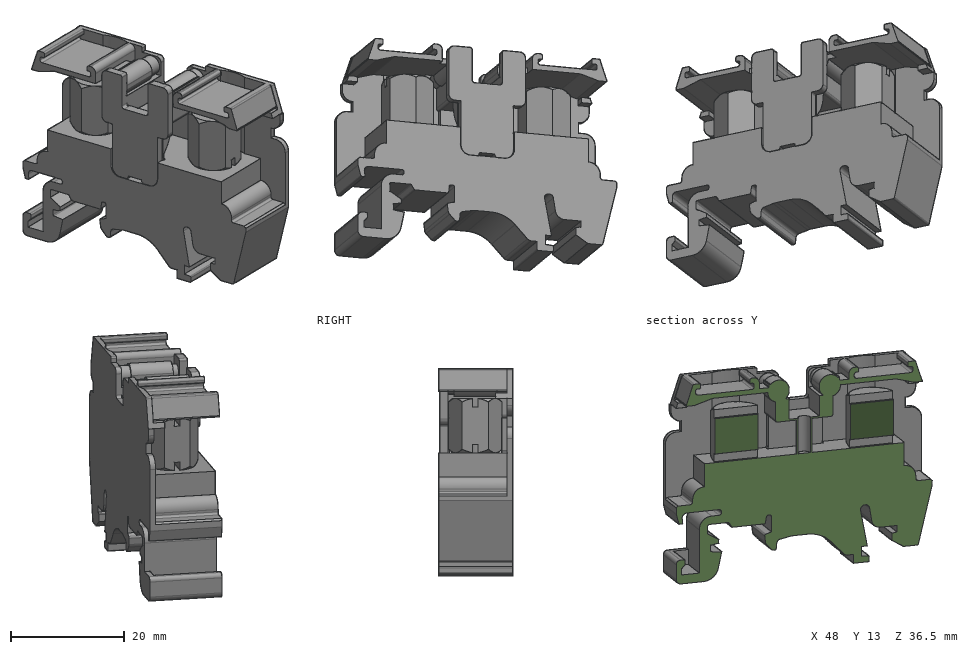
import cadquery as cq
import math

LENGTH = 48.0
DEPTH = 13.0
HEIGHT = 36.5
HALF_LENGTH = LENGTH / 2

WALL_THICKNESS = 1.0
WALL_FRONT = DEPTH - WALL_THICKNESS
SHOULDER_Z = 14.45
SHOULDER_CHAMFER = 0.35
FLOOR_Z = 21.7
SIDE_TOP_X = 20.95
SIDE_BOTTOM_X = 22.7
SIDE_BOTTOM_Z = 31.25
WALL_OVERLAP = 0.95
WALL_SADDLE_Z = 35.4
POCKET_RADIUS = 6.15

STOP_INNER_X = 20.8
STOP_HEIGHT = 0.95
STOP_FRONT = 10.0

CHANNEL_WALL_X = 19.7
CHANNEL_LIP_X = 22.9
CHANNEL_FLOOR_Z = 1.75
CHANNEL_TOP_Z = 4.45

TRAY_FLOOR_Z = 34.4
TRAY_BOTTOM_Z = 33.45
TRAY_RIM_Z = 32.5
TRAY_RIM_HEIGHT = 0.25
TRAY_INNER_X = 8.35
HOOK_Z = 35.45
TRAY_INSET = 0.1

PLATE_FRONT = 0.15
PLATE_BACK = 1.65
PLATE_HALF_WIDTH = 7.1
PLATE_STEP_Z = 26.55
PLATE_FOOT_HALF_WIDTH = 4.85
PLATE_BOTTOM_Z = 16.75
PLATE_FOOT_RADIUS = 1.7
RECESS_GAP = 0.2
NOTCH_HALF_WIDTH = 2.8
NOTCH_BOTTOM_Z = 30.1
NOTCH_RADIUS = 0.5
BOTTOM_NOTCH_HALF_WIDTH = 1.65
BOTTOM_NOTCH_TOP_HALF_WIDTH = 1.35
BOTTOM_NOTCH_HEIGHT = 0.6

BRIDGE_HALF_WIDTH = 5.4
BRIDGE_BOTTOM_Z = 27.85
BRIDGE_TOP_Z = 31.95
BRIDGE_EDGE_RADIUS = 0.5
WELL_FLOOR_Z = 28.2
WELL_FRONT = 1.9
WELL_BACK = 11.6
LEG_HALF_WIDTH = 5.05
LEG_FRONT = 11.05
LEG_FOOT_HEIGHT = 0.35
LEG_FOOT_SPREAD = 0.2
GUSSET_BOTTOM_Z = 22.55
GUSSET_BACK = 4.2
GUSSET_MIDDLE = (3.4, 24.75)
BOSS_DIAMETER = 3.0
BOSS_HOLE_DIAMETER = 2.2
BOSS_Y = 6.5

POST_X = 4.8
POST_Z = 33.55
POST_DIAMETER = 4.15
POST_BACK_DIAMETER = 3.5
POST_FRONT_DIAMETER = 3.0
POST_LENGTH = 7.6
ARM_ROOT_X = 6.6
ARM_ROOT_Z = 34.95
LEFT_POST_FRONT = 1.75
RIGHT_POST_FRONT = 2.7

SCREW_X = 12.65
SCREW_Y = 6.45
SCREW_CORNER_DIAMETER = 9.35
SCREW_TOP_Z = 31.25
SCREW_CHAMFER = 0.6
SLOT_WIDTH = 1.0
SLOT_DEPTH = 1.5


def rounded_outline(corners):
    """Closed XZ outline through (x, z, radius) corners, each rounded by a tangent arc."""
    stretches = []
    count = len(corners)
    for i in range(count):
        x, z, radius = corners[i]
        corner = cq.Vector(x, z)
        before = (cq.Vector(*corners[i - 1][:2]) - corner).normalized()
        after = (cq.Vector(*corners[(i + 1) % count][:2]) - corner).normalized()
        if radius == 0:
            stretches.append([corner])
            continue
        half_angle = before.getAngle(after) / 2
        reach = radius / math.tan(half_angle)
        bisector = (before + after).normalized()
        middle = corner + bisector * (radius / math.sin(half_angle) - radius)
        stretches.append([corner + before * reach, middle, corner + after * reach])

    outline = cq.Workplane("XZ").moveTo(*stretches[0][-1].toTuple()[:2])
    for stretch in stretches[1:] + stretches[:1]:
        outline = outline.lineTo(*stretch[0].toTuple()[:2])
        if len(stretch) > 1:
            outline = outline.threePointArc(stretch[1].toTuple()[:2], stretch[2].toTuple()[:2])
    return outline.close()


def slab(corners, front, back):
    """Solid with a rounded XZ outline between two Y positions."""
    return rounded_outline(corners).extrude(front - back).translate((0, front, 0))


def box(left, right, front, back, bottom, top):
    size = (right - left, back - front, top - bottom)
    return cq.Workplane("XY").box(*size, centered=False).translate((left, front, bottom))


def rod(x, z, diameter, front, back):
    """Round rod along Y."""
    profile = cq.Workplane("XZ").center(x, z).circle(diameter / 2)
    return profile.extrude(front - back).translate((0, front, 0))


def symmetric(left_corners):
    """Complete a left half outline, listed from bottom to top, with its mirror image."""
    return left_corners + [(-x, z, radius) for x, z, radius in reversed(left_corners)]


def make_base():
    """Full-depth lower body with the stepped shoulders and the rail foot."""
    shoulders = symmetric([
        (-HALF_LENGTH, SHOULDER_Z - SHOULDER_CHAMFER, 0),
        (-HALF_LENGTH + SHOULDER_CHAMFER, SHOULDER_Z, 0),
        (-SIDE_TOP_X, SHOULDER_Z, 0.45),
        (-SIDE_TOP_X, 17.45, 2.15),
        (-18.7, 17.45, 0),
        (-18.7, FLOOR_Z, 0),
    ])
    right_hook = [
        (HALF_LENGTH, 13.35, 0),
        (21.35, 2.55, 0.3),
        (18.6, 2.55, 0),
        (16.35, 3.95, 0),
        (16.35, 5.3, 0),
        (17.35, 5.4, 0),
        (17.35, 6.55, 0),
        (12.8, 6.55, 1.7),
        (12.1, 10.95, 0.75),
        (10.4, 10.95, 0.75),
    ]
    spring_foot = [
        (11.85, 3.35, 0),
        (10.75, 3.35, 0),
        (10.75, 1.7, 0),
        (12.2, 1.6, 0.2),
        (12.2, 0.45, 0.2),
        (9.15, 0.45, 0.15),
        (9.15, 2.05, 0),
        (7.7, 2.05, 0.95),
    ]
    belly = [
        (3.25, 6.65, 6.25),
        (-2.4, 6.65, 3.85),
        (-5.05, 6.2, 0.7),
        (-5.25, 4.3, 0.35),
        (-6.0, 4.45, 0.25),
        (-7.25, 5.75, 0.95),
        (-7.5, 7.5, 0.3),
        (-6.15, 7.85, 0),
        (-6.15, 10.95, 0.35),
        (-7.0, 10.95, 0.35),
        (-7.25, 9.4, 0.2),
        (-13.55, 9.4, 0.2),
        (-14.15, 10.35, 0.2),
    ]
    left_hook = [
        (-18.1, 10.35, 0.35),
        (-18.1, 8.8, 0),
        (-16.0, 7.5, 0),
        (-16.0, 6.75, 0),
        (-17.45, 6.55, 0),
        (-17.45, 5.4, 0.15),
        (-15.4, 5.2, 0),
        (-16.5, 0, 2.9),
        (-HALF_LENGTH, 0, 0.95),
    ]
    channel = [
        (-HALF_LENGTH, CHANNEL_TOP_Z, 0.75),
        (-22.25, CHANNEL_TOP_Z, 0.3),
        (-22.2, 3.55, 0.15),
        (-CHANNEL_LIP_X, 2.85, 0),
        (-CHANNEL_LIP_X, CHANNEL_FLOOR_Z, 0),
        (-CHANNEL_WALL_X, CHANNEL_FLOOR_Z, 0),
    ]
    side_slot = [
        (-CHANNEL_WALL_X, 11.95, 2.3),
        (-15.5, 11.95, 0.45),
        (-15.5, 12.9, 0.45),
        (-22.9, 12.9, 0.8),
        (-22.7, 11.0, 0.15),
        (-23.45, 11.0, 0.15),
        (-HALF_LENGTH, 12.95, 0),
    ]
    outline = shoulders + right_hook + spring_foot + belly + left_hook + channel + side_slot
    channel_end = box(-CHANNEL_LIP_X, -CHANNEL_WALL_X, WALL_FRONT, DEPTH, CHANNEL_FLOOR_Z, CHANNEL_TOP_Z)
    return slab(outline, 0, DEPTH).union(channel_end)


def make_back_wall():
    """Thin wall behind screws and trays, hollowed around each screw."""
    outline = symmetric([
        (-HALF_LENGTH, SHOULDER_Z - WALL_OVERLAP, 0),
        (-HALF_LENGTH, 26.25, 2.05),
        (-SIDE_TOP_X, 26.25, 0),
        (-SIDE_TOP_X, 28.2, 0),
        (-22.9, 28.2, 1.85),
        (-22.9, SIDE_BOTTOM_Z, 0),
        (-SIDE_BOTTOM_X, SIDE_BOTTOM_Z, 0),
        (-SIDE_TOP_X, HEIGHT, 0.3),
        (-6.8, HEIGHT, 0.3),
        (-6.8, WALL_SADDLE_Z, 0),
        (-NOTCH_HALF_WIDTH, WALL_SADDLE_Z, 0.95),
        (-NOTCH_HALF_WIDTH, NOTCH_BOTTOM_Z, NOTCH_RADIUS),
    ])
    wall = slab(outline, WALL_FRONT, DEPTH)
    for x in (-SCREW_X, SCREW_X):
        hollow = cq.Workplane("XY").center(x, SCREW_Y).circle(POCKET_RADIUS).extrude(HEIGHT - FLOOR_Z)
        wall = wall.cut(hollow.translate((0, 0, FLOOR_Z)))
    return wall


def side_x(z):
    """X distance of the sloping upper side from the middle at height z."""
    slope = (SIDE_BOTTOM_X - SIDE_TOP_X) / (HEIGHT - SIDE_BOTTOM_Z)
    return SIDE_TOP_X + slope * (HEIGHT - z)


def make_left_tray():
    """Marker tray with a hooked lip at both ends, and the stop on the wall below it."""
    rim_top = TRAY_RIM_Z + TRAY_RIM_HEIGHT
    tray = slab([
        (TRAY_INSET - side_x(rim_top), TRAY_RIM_Z, 0),
        (TRAY_INSET - side_x(rim_top), rim_top, 0),
        (TRAY_INSET - SIDE_TOP_X, HEIGHT, 0.3),
        (-19.35, HEIGHT, 0.3),
        (-19.35, HOOK_Z, 0.2),
        (-20.3, HOOK_Z, 0.35),
        (-20.3, TRAY_FLOOR_Z, 0.45),
        (-9.4, TRAY_FLOOR_Z, 0.4),
        (-9.4, HOOK_Z, 0.35),
        (-10.2, HOOK_Z, 0.2),
        (-10.2, HEIGHT, 0.5),
        (-TRAY_INNER_X, HEIGHT, 1.05),
        (-TRAY_INNER_X, TRAY_BOTTOM_Z, 0),
        (-17.2, TRAY_BOTTOM_Z, 0),
        (-20.55, TRAY_RIM_Z, 0),
    ], 0, WALL_FRONT)
    stop_top = SIDE_BOTTOM_Z + STOP_HEIGHT
    stop = slab([
        (-SIDE_BOTTOM_X, SIDE_BOTTOM_Z, 0),
        (-side_x(stop_top), stop_top, 0),
        (-STOP_INNER_X, stop_top, 0),
        (-STOP_INNER_X, SIDE_BOTTOM_Z, 0),
    ], STOP_FRONT, WALL_FRONT)
    return tray.union(stop)


def make_recess():
    """Recess in the front of the base around the foot of the front plate."""
    half_width = PLATE_FOOT_HALF_WIDTH + RECESS_GAP
    return slab(symmetric([
        (-half_width, PLATE_BOTTOM_Z, PLATE_FOOT_RADIUS + RECESS_GAP),
        (-half_width, FLOOR_Z, 0),
    ]), 0, PLATE_BACK)


def make_front_plate():
    """Plate in front of the bridge, with a notch at the top and a small one at the bottom."""
    sides = symmetric([
        (-BOTTOM_NOTCH_HALF_WIDTH, PLATE_BOTTOM_Z, 0),
        (-PLATE_FOOT_HALF_WIDTH, PLATE_BOTTOM_Z, PLATE_FOOT_RADIUS),
        (-PLATE_FOOT_HALF_WIDTH, PLATE_STEP_Z, 0.2),
        (-PLATE_HALF_WIDTH, PLATE_STEP_Z, 1.05),
        (-PLATE_HALF_WIDTH, HEIGHT, 1.05),
        (-NOTCH_HALF_WIDTH, HEIGHT, 0.4),
        (-NOTCH_HALF_WIDTH, NOTCH_BOTTOM_Z, NOTCH_RADIUS),
    ])
    notch_top_z = PLATE_BOTTOM_Z + BOTTOM_NOTCH_HEIGHT
    bottom_notch = [
        (BOTTOM_NOTCH_TOP_HALF_WIDTH, notch_top_z, 0),
        (-BOTTOM_NOTCH_TOP_HALF_WIDTH, notch_top_z, 0),
    ]
    return slab(sides + bottom_notch, PLATE_FRONT, PLATE_BACK)


def make_bridge():
    """Bridge from the front plate to the back wall, open underneath, with the well on top."""
    bridge = slab(symmetric([
        (-BRIDGE_HALF_WIDTH, BRIDGE_BOTTOM_Z, BRIDGE_EDGE_RADIUS),
        (-BRIDGE_HALF_WIDTH, BRIDGE_TOP_Z, 0),
    ]), PLATE_BACK, WALL_FRONT)
    leg_outline = symmetric([
        (-LEG_HALF_WIDTH - LEG_FOOT_SPREAD, FLOOR_Z, 0),
        (-LEG_HALF_WIDTH, FLOOR_Z + LEG_FOOT_HEIGHT, 0),
        (-LEG_HALF_WIDTH, BRIDGE_BOTTOM_Z, 0),
    ])
    front_leg = slab(leg_outline, PLATE_BACK, WELL_FRONT)
    back_leg = slab(leg_outline, LEG_FRONT, WALL_FRONT)
    gusset = (
        cq.Workplane("YZ")
        .moveTo(PLATE_BACK, GUSSET_BOTTOM_Z)
        .threePointArc(GUSSET_MIDDLE, (GUSSET_BACK, BRIDGE_BOTTOM_Z))
        .lineTo(PLATE_BACK, BRIDGE_BOTTOM_Z)
        .close()
        .extrude(LEG_HALF_WIDTH, both=True)
    )
    boss = (
        cq.Workplane("XY", origin=(0, BOSS_Y, FLOOR_Z))
        .circle(BOSS_DIAMETER / 2)
        .extrude(WELL_FLOOR_Z - FLOOR_Z)
    )
    return bridge.union(front_leg).union(back_leg).union(gusset).union(boss)


def make_well():
    """Open well between the posts with the hole in its floor."""
    well = box(-NOTCH_HALF_WIDTH, NOTCH_HALF_WIDTH, WELL_FRONT, WELL_BACK, WELL_FLOOR_Z, HEIGHT)
    hole = (
        cq.Workplane("XY", origin=(0, BOSS_Y, FLOOR_Z))
        .circle(BOSS_HOLE_DIAMETER / 2)
        .extrude(WELL_FLOOR_Z - FLOOR_Z)
    )
    end_notches = box(-NOTCH_HALF_WIDTH, NOTCH_HALF_WIDTH, PLATE_BACK, WALL_FRONT, NOTCH_BOTTOM_Z, HEIGHT)
    return well.union(end_notches).union(hole)


def make_post(side, front):
    """Stepped hinge post on one side (-1 or 1) with the arm that holds the tray."""
    x = side * POST_X
    back = front + POST_LENGTH
    barrel = rod(x, POST_Z, POST_DIAMETER, front, back)
    back_end = rod(x, POST_Z, POST_BACK_DIAMETER, back, WALL_FRONT)
    front_end = rod(x, POST_Z, POST_FRONT_DIAMETER, PLATE_BACK, front)
    arm = box(*sorted((x, side * TRAY_INNER_X)), front, back, TRAY_BOTTOM_Z, TRAY_FLOOR_Z)
    arm_root = box(*sorted((x, side * ARM_ROOT_X)), front, back, TRAY_BOTTOM_Z, ARM_ROOT_Z)
    return barrel.union(back_end).union(front_end).union(arm).union(arm_root)


def make_housing():
    """Housing body with its wall, trays, front plate, bridge and posts."""
    left_tray = make_left_tray()
    housing = make_base().cut(make_recess())
    additions = [
        make_back_wall(),
        left_tray,
        left_tray.mirror("YZ"),
        make_front_plate(),
        make_bridge(),
        make_post(-1, LEFT_POST_FRONT),
        make_post(1, RIGHT_POST_FRONT),
    ]
    for addition in additions:
        housing = housing.union(addition)
    return housing.cut(make_well())


def make_screw(x):
    """Hexagon screw with corners towards Y, bevelled ends and a slot across both ends."""
    height = SCREW_TOP_Z - FLOOR_Z
    hexagon = cq.Workplane("XY").polygon(6, SCREW_CORNER_DIAMETER).extrude(height)
    hexagon = hexagon.rotate((0, 0, 0), (0, 0, 1), 90)
    envelope = cq.Workplane("XY").circle(SCREW_CORNER_DIAMETER / 2).extrude(height)
    screw = hexagon.intersect(envelope.edges("%CIRCLE").chamfer(SCREW_CHAMFER))
    half_slot = SLOT_WIDTH / 2
    half_width = SCREW_CORNER_DIAMETER / 2
    for bottom in (0, height - SLOT_DEPTH):
        screw = screw.cut(box(-half_width, half_width, -half_slot, half_slot, bottom, bottom + SLOT_DEPTH))
    return screw.translate((x, SCREW_Y, FLOOR_Z))


housing = make_housing()
screws = [make_screw(x) for x in (-SCREW_X, SCREW_X)]
result = cq.Compound.makeCompound([housing.val(), *[screw.val() for screw in screws]])